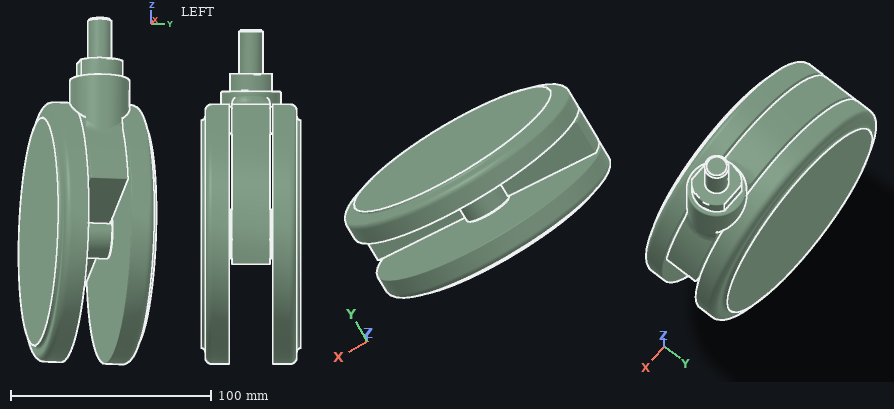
import cadquery as cq
import math


wheel_radius = 65.0
overall_width = 50.0
inner_gap = 21.5
tread_round = 3.5
inner_edge_round = 0.5
cap_height = 2.0
cap_radius = 57.0
wheel_inner = inner_gap / 2
wheel_face = overall_width / 2 - cap_height

core_width = 19.0
core_edge_round = 0.5
underside_drop = 15.2
underside_angle = math.degrees(math.asin(underside_drop / wheel_radius))
hub_radius = 12.4
hub_chamfer = 0.5
collar_radius = 15
collar_x = 34.9
collar_top = 71.3
collar_edge_round = 1.0
neck_fillet = 5.5
neck_top = 69.3
neck_corner_round = 4.3
wheel_clearance_radius = 68.0

stem_top = 102.0
stem_radius = 6.0
stem_chamfer = 1.0
flange_radius = 12.5
flange_height = 8.9
flange_edge_round = 0.5
across_flats = 21.0

beyond = 2 * wheel_radius


def make_disc(radius, width):
    """Disc on the wheel axis, centred between the wheels."""
    return cq.Workplane("XZ").circle(radius).extrude(width / 2, both=True)


def make_post(radius, bottom, top):
    """Upright cylinder on the axis of the collar and stem."""
    return cq.Workplane("XY", origin=(collar_x, 0, bottom)).circle(radius).extrude(top - bottom)


def make_wheel(side):
    """Wheel on the +Y side (side = 1) or the -Y side (side = -1)."""
    rim = (
        cq.Workplane("XZ", origin=(0, wheel_inner, 0))
        .circle(wheel_radius)
        .extrude(wheel_inner - wheel_face)
    )
    rim = rim.faces(">Y").edges().fillet(tread_round)
    rim = rim.faces("<Y").edges().fillet(inner_edge_round)
    flare = cap_height * (1 - math.sqrt(0.5))
    cap = (
        cq.Workplane("XY")
        .moveTo(0, wheel_face)
        .lineTo(cap_radius + cap_height, wheel_face)
        .threePointArc(
            (cap_radius + flare, wheel_face + flare),
            (cap_radius, wheel_face + cap_height),
        )
        .lineTo(0, wheel_face + cap_height)
        .close()
        .revolve(360, (0, 0, 0), (0, 1, 0))
    )
    wheel = rim.union(cap)
    return wheel if side > 0 else wheel.mirror("XZ")


def make_core_slab(corner_round=0):
    """Slab as wide as the core and as high as the neck, optionally with rounded top corners."""
    slab = cq.Workplane("XY").box(2 * beyond, core_width, beyond).translate((0, 0, neck_top - beyond / 2))
    if corner_round:
        slab = slab.edges("|X and >Z").fillet(corner_round)
    return slab


def make_core(collar):
    """Half drum with a slanted underside, and the neck where the collar blends into it."""
    drum = make_disc(wheel_radius, 4 * collar_radius).union(collar)
    collar_foot = cq.selectors.BoxSelector(
        (collar_x - beyond, -collar_radius, 0),
        (collar_x + beyond, collar_radius, neck_top),
    )
    drum = drum.edges(collar_foot).fillet(neck_fillet)
    core = drum.intersect(make_core_slab())
    lower_half = (
        cq.Workplane("XY")
        .box(2 * beyond, beyond, beyond)
        .translate((0, 0, -beyond / 2))
        .rotate((0, 0, 0), (0, 1, 0), -underside_angle)
    )
    core = core.cut(lower_half)
    core = core.faces("<Y or >Y or <Z").edges().fillet(core_edge_round)
    return core.intersect(make_core_slab(neck_corner_round))


def make_housing():
    collar = make_post(collar_radius, 0, collar_top).faces(">Z").edges().fillet(collar_edge_round)
    core = make_core(collar)
    collar_above_wheels = collar.cut(make_disc(wheel_clearance_radius, 4 * collar_radius))
    hub = make_disc(hub_radius, inner_gap).faces("<Y or >Y").chamfer(hub_chamfer)
    return core.union(collar_above_wheels).union(hub)


def make_stem():
    flange = make_post(flange_radius, collar_top, collar_top + flange_height)
    flange = flange.edges().fillet(flange_edge_round)
    flats = cq.Workplane("XY").box(2 * beyond, across_flats, 2 * beyond)
    stud = make_post(stem_radius, collar_top, stem_top).faces(">Z").chamfer(stem_chamfer)
    return flange.intersect(flats).union(stud)


wheels = [make_wheel(side) for side in (-1, 1)]
housing = make_housing()
stem = make_stem()

bodies = [*wheels, housing, stem]
result = cq.Compound.makeCompound([body.solids().val() for body in bodies])